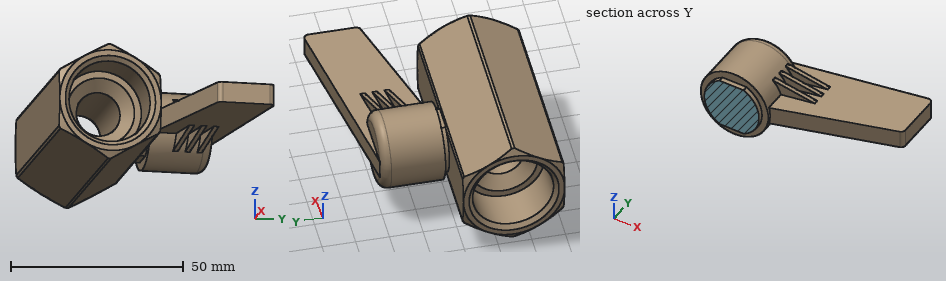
import cadquery as cq
import math

overall_length = 78

body_length = 61.7
side_count = 6
across_flats = 30.0
corner_diameter = 34.2
end_chamfer_angle = 30

socket_radius = 12.0
socket_mouth_radius = 13.3
socket_depth = 13.6
seat_radius = 10.0
passage_radius = 6.5
seat_depth = 3.5

stem_x = -2.8
stem_radius = 9.35
stem_across_flats = 16.85
knob_radius = 11.5
knob_bottom = 16.6
knob_top = 35.5
knob_fillet = 2.8

lever_thickness = 6.0
lever_tip_x = overall_length - body_length / 2
lever_root_top_x = -11.55
lever_tip_top = 45.4
lever_tip_bottom = 28.6
lever_root_bottom = 17.6
lever_corner_radius = 1.5
lever_slope = (lever_tip_top - knob_top) / (lever_tip_x - lever_root_top_x)

rib_count = 3
rib_start_x = 5.7
rib_end_x = 18.65
rib_width = 1.4
rib_pitch = 3.6
first_rib_top = 32.45


def make_body():
    """Hexagonal bar with rounded corners and conical end chamfers."""
    half_length = body_length / 2
    half_sector = 180 / side_count
    flat_radius = across_flats / 2
    corner_radius = corner_diameter / 2
    chamfer_length = (corner_radius - flat_radius) * math.tan(math.radians(end_chamfer_angle))
    hexagon = (
        cq.Workplane("YZ")
        .polygon(side_count, across_flats / math.cos(math.radians(half_sector)))
        .extrude(half_length, both=True)
        .rotate((0, 0, 0), (1, 0, 0), half_sector)
    )
    turned_envelope = (
        cq.Workplane("XY")
        .moveTo(-half_length, 0)
        .lineTo(-half_length, flat_radius)
        .lineTo(-half_length + chamfer_length, corner_radius)
        .lineTo(half_length - chamfer_length, corner_radius)
        .lineTo(half_length, flat_radius)
        .lineTo(half_length, 0)
        .close()
        .revolve(360, (0, 0, 0), (1, 0, 0))
    )
    return hexagon.intersect(turned_envelope)


def make_bore():
    """Revolved cavity running through the body, the same from both ends."""
    half_length = body_length / 2
    mouth_depth = socket_mouth_radius - socket_radius
    socket_end = half_length - socket_depth
    end_profile = [
        (half_length, socket_mouth_radius),
        (half_length - mouth_depth, socket_radius),
        (socket_end, socket_radius),
        (socket_end, seat_radius),
        (socket_end - seat_depth, passage_radius),
    ]
    mirrored_profile = [(-x, radius) for x, radius in reversed(end_profile)]
    outline = [(half_length, 0)] + end_profile + mirrored_profile + [(-half_length, 0)]
    return cq.Workplane("XY").polyline(outline).close().revolve(360, (0, 0, 0), (1, 0, 0))


def cylinder_along_y(radius, start_y, end_y):
    """Cylinder on the stem axis between two Y levels."""
    return (
        cq.Workplane("XZ", origin=(stem_x, start_y, 0))
        .circle(radius)
        .extrude(start_y - end_y)
    )


def make_stem():
    """Round stem with two flats, sunk into the body."""
    flats = cq.Workplane("XY").box(body_length, 2 * knob_top, stem_across_flats)
    return cylinder_along_y(stem_radius, passage_radius, knob_bottom).intersect(flats)


def make_knob():
    return cylinder_along_y(knob_radius, knob_bottom, knob_top).faces(">Y").edges().fillet(knob_fillet)


def make_lever():
    """Tapering plate with rounded tip corners."""
    root_x = stem_x + knob_radius
    return (
        cq.Workplane("XY")
        .moveTo(lever_root_top_x, knob_top)
        .lineTo(lever_tip_x, lever_tip_top)
        .lineTo(lever_tip_x, lever_tip_bottom)
        .lineTo(root_x, lever_root_bottom)
        .lineTo(stem_x, lever_root_bottom)
        .close()
        .extrude(lever_thickness / 2, both=True)
        .edges("|Z and >X")
        .fillet(lever_corner_radius)
    )


def make_rib(top_y):
    """Rib parallel to the lever's upper edge, tapering to both lever faces."""
    rise = lever_slope * (rib_end_x - rib_start_x)
    rib_height = math.sqrt(knob_radius**2 - (rib_start_x - stem_x) ** 2)
    strip = (
        cq.Workplane("XY")
        .moveTo(rib_start_x, top_y)
        .lineTo(rib_end_x, top_y + rise)
        .lineTo(rib_end_x, top_y + rise - rib_width)
        .lineTo(rib_start_x, top_y - rib_width)
        .close()
        .extrude(rib_height, both=True)
    )
    taper = (
        cq.Workplane("XZ")
        .moveTo(rib_start_x, -rib_height)
        .lineTo(rib_start_x, rib_height)
        .lineTo(rib_end_x, lever_thickness / 2)
        .lineTo(rib_end_x, -lever_thickness / 2)
        .close()
        .extrude(-lever_tip_top)
    )
    return strip.intersect(taper)


valve = make_body().union(make_stem()).cut(make_bore())
handle = make_knob().union(make_lever())
for index in range(rib_count):
    handle = handle.union(make_rib(first_rib_top - index * rib_pitch))
result = valve.union(handle)